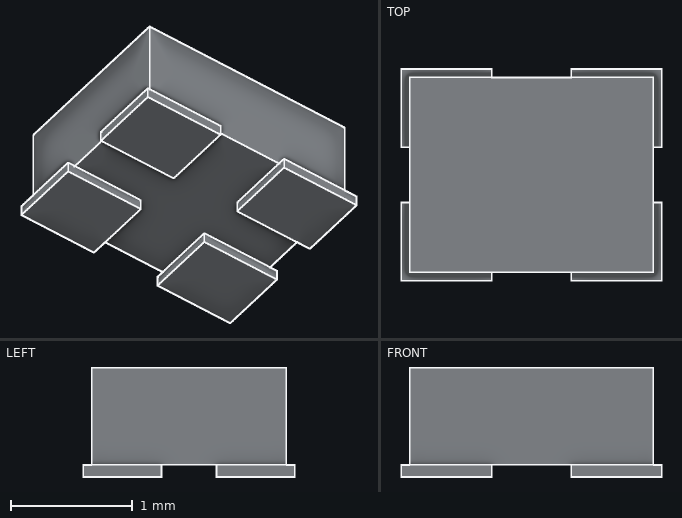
import cadquery as cq

footprint_x = 2.14
footprint_y = 1.74
total_height = 0.9

pad_x = 0.745
pad_y = 0.645
pad_thickness = 0.1

housing_x = 2.0
housing_y = 1.6
housing_height = total_height - pad_thickness


def make_housing():
    """Plain rectangular block standing on top of the pads."""
    return (
        cq.Workplane("XY")
        .workplane(offset=pad_thickness)
        .rect(housing_x, housing_y)
        .extrude(housing_height)
    )


def make_pad(side_x, side_y):
    """Flat terminal pad in the footprint corner given by the signs side_x and side_y."""
    center_x = side_x * (footprint_x - pad_x) / 2
    center_y = side_y * (footprint_y - pad_y) / 2
    return (
        cq.Workplane("XY")
        .center(center_x, center_y)
        .rect(pad_x, pad_y)
        .extrude(pad_thickness)
    )


housing = make_housing()
pads = [make_pad(side_x, side_y) for side_x in (-1, 1) for side_y in (-1, 1)]

result = cq.Compound.makeCompound([housing.val(), *[pad.val() for pad in pads]])